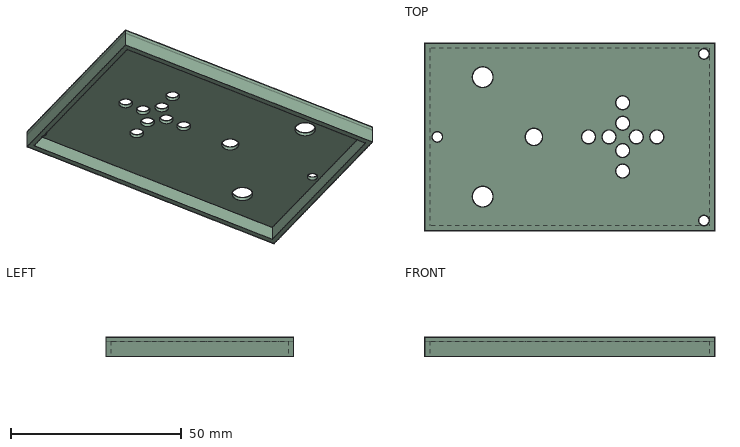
import cadquery as cq

LENGTH = 85.0
WIDTH = 55.0
HEIGHT = 5.7

PLATE_THICKNESS = 1.2
WALL_THICKNESS = 1.5
RIM_HEIGHT = HEIGHT - PLATE_THICKNESS

SCREW_DIAMETER = 3.0
END_SCREW_INSET = 3.7
CORNER_SCREW_INSET = 3.2
FRONT_SCREW_INSET = 3.0

LARGE_DIAMETER = 6.0
LARGE_FROM_END = 17.0
LARGE_SPACING = 35.0

MIDDLE_DIAMETER = 5.0
MIDDLE_FROM_END = 32.0

CROSS_DIAMETER = 4.0
CROSS_FROM_END = 58.0
CROSS_RADII = (4.0, 10.0)
ARM_DIRECTIONS = ((1, 0), (0, 1), (-1, 0), (0, -1))

LEFT_END = -LENGTH / 2


def open_rim():
    """Rectangular frame standing under the edge of the plate."""
    return (
        cq.Workplane("XY")
        .rect(LENGTH, WIDTH)
        .rect(LENGTH - 2 * WALL_THICKNESS, WIDTH - 2 * WALL_THICKNESS)
        .extrude(RIM_HEIGHT)
    )


def face_plate():
    return cq.Workplane("XY").workplane(offset=RIM_HEIGHT).rect(LENGTH, WIDTH).extrude(PLATE_THICKNESS)


def drill(body, centres, diameter):
    """Cut round holes right through the face plate."""
    drills = (
        cq.Workplane("XY")
        .workplane(offset=RIM_HEIGHT)
        .pushPoints(centres)
        .circle(diameter / 2)
        .extrude(PLATE_THICKNESS)
    )
    return body.cut(drills)


def screw_centres():
    corner_x = LENGTH / 2 - CORNER_SCREW_INSET
    back_y = WIDTH / 2 - CORNER_SCREW_INSET
    front_y = FRONT_SCREW_INSET - WIDTH / 2
    return [(LEFT_END + END_SCREW_INSET, 0), (corner_x, back_y), (corner_x, front_y)]


def large_centres():
    x = LEFT_END + LARGE_FROM_END
    return [(x, LARGE_SPACING / 2), (x, -LARGE_SPACING / 2)]


def cross_centres():
    x = LEFT_END + CROSS_FROM_END
    return [(x + r * dx, r * dy) for r in CROSS_RADII for dx, dy in ARM_DIRECTIONS]


plate = face_plate()
plate = drill(plate, screw_centres(), SCREW_DIAMETER)
plate = drill(plate, large_centres(), LARGE_DIAMETER)
plate = drill(plate, [(LEFT_END + MIDDLE_FROM_END, 0)], MIDDLE_DIAMETER)
plate = drill(plate, cross_centres(), CROSS_DIAMETER)

result = open_rim().union(plate, clean=False)